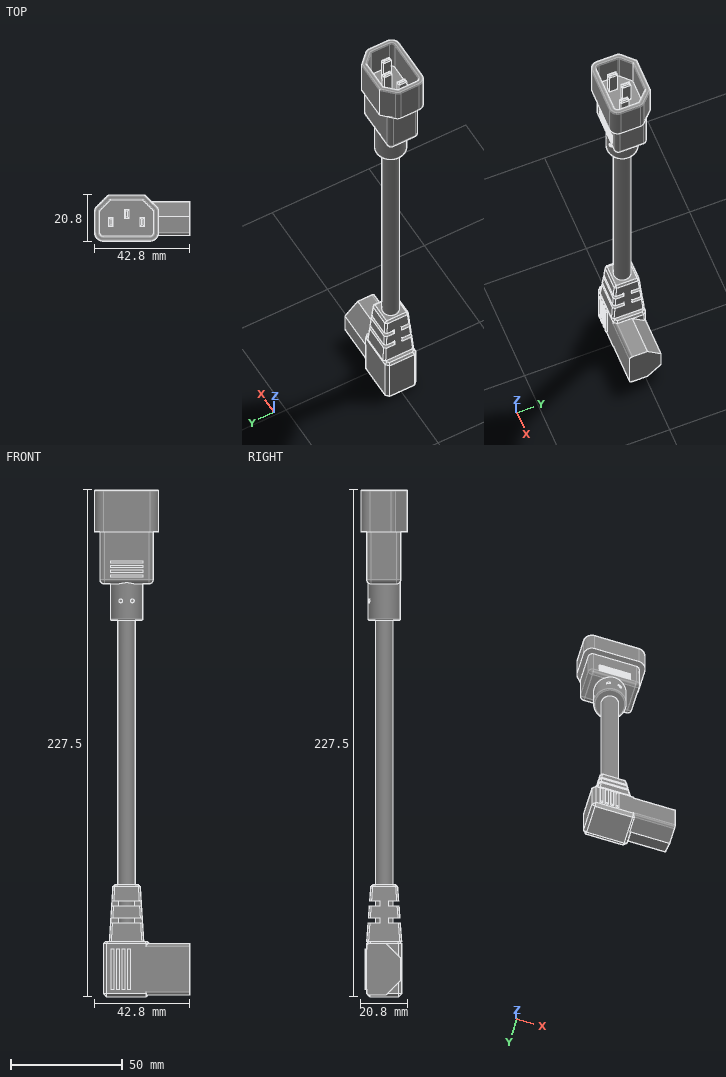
import cadquery as cq
import math


total_height = 227.46
total_width = 42.8

cable_dia = 8.0

shell_width = 28.8
shell_depth = 20.83
shell_height = 18.7
shell_bevel = 6.2
shell_bevel_radius = 3.0
rim_edge = 0.5
shell_radius = 4.0
shell_wall = 2.3
pocket_depth = 16.5
pin_width = 2.0
pin_depth = 4.0
pin_recess = 3.0
pin_tip_chamfer = 0.6
pin_pitch = 7.0
pin_stagger = 3.6
grip_width = 24.0
grip_front = -7.9
grip_back = 7.5
grip_height = 23.4
grip_radius = 2.0
sleeve_dia = 14.6
sleeve_height = 16.3
sleeve_edge = 0.6
dimple_dia = 1.7
dimple_depth = 0.8
dimple_spacing = 5.2
dimple_drop = 7.6
grip_slot_count = 4
grip_slot_pitch = 2.1
grip_slot_length = 14.6
grip_slot_height = 1.0
grip_slot_depth = 0.6
lowest_grip_slot = 3.6

block_left = -10.4
block_right = 10.2
block_height = 25.0
block_depth = 15.8
block_edge = 1.5
block_top_edge = 1.0
nose_height = 23.2
nose_back = 7.4
nose_chamfer = 6.6
nose_radius = 1.4
rib_count = 4
rib_pitch = 2.5
rib_width = 1.4
rib_length = 18.0
rib_rise = 0.6
first_rib_x = -6.4
boot_height = 25.4
boot_base_width = 15.5
boot_base_depth = 15.8
boot_top_width = 12.3
boot_top_depth = 12.0
boot_edge = 0.9
boot_groove_height = 2.1
boot_groove_bottoms = (33.3, 40.9)
boot_web = 3.7

shell_bottom = total_height - shell_height
grip_bottom = shell_bottom - grip_height
sleeve_bottom = grip_bottom - sleeve_height
nose_right = total_width - shell_width / 2
nose_front = -block_depth / 2
nose_depth = nose_back - nose_front
grip_depth = grip_back - grip_front


def shell_outline(inset):
    """Corners of the shell, offset inwards: bevelled at the back, square at the front."""
    half_width = shell_width / 2 - inset
    half_depth = shell_depth / 2 - inset
    bevel = shell_bevel - inset * (2 - math.sqrt(2))
    return [
        (-half_width, -half_depth),
        (half_width, -half_depth),
        (half_width, half_depth - bevel),
        (half_width - bevel, half_depth),
        (-half_width + bevel, half_depth),
        (-half_width, half_depth - bevel),
    ]


def shell_prism(inset, bottom, height):
    prism = cq.Workplane("XY").workplane(offset=bottom).polyline(shell_outline(inset)).close().extrude(height)
    prism = prism.edges("|Z and (<X or >X)").edges(">Y").fillet(shell_bevel_radius - inset)
    return prism.edges("|Z and <Y").fillet(shell_radius - inset)


def contact_pins():
    height = pocket_depth - pin_recess
    places = [(-pin_pitch, -pin_stagger / 2), (0, pin_stagger / 2), (pin_pitch, -pin_stagger / 2)]
    pins = (
        cq.Workplane("XY").workplane(offset=total_height - pocket_depth)
        .pushPoints(places).rect(pin_width, pin_depth).extrude(height)
    )
    return pins.faces(">Z").chamfer(pin_tip_chamfer)


def make_grip():
    return (
        cq.Workplane("XY").workplane(offset=grip_bottom)
        .center(0, grip_front + grip_depth / 2)
        .rect(grip_width, grip_depth).extrude(grip_height)
        .edges("|Z or <Z").fillet(grip_radius)
    )


def make_sleeve():
    return (
        cq.Workplane("XY").workplane(offset=sleeve_bottom)
        .circle(sleeve_dia / 2).extrude(sleeve_height + grip_radius)
        .faces("<Z").edges().fillet(sleeve_edge)
    )


def make_grip_slot(index):
    slot_z = grip_bottom + lowest_grip_slot + index * grip_slot_pitch
    slot = cq.Workplane("XY").box(grip_slot_length, 2 * grip_slot_depth, grip_slot_height)
    return slot.translate((0, grip_front, slot_z))


def make_dimple(side):
    dimple_x = side * dimple_spacing / 2
    surface_y = -math.sqrt((sleeve_dia / 2) ** 2 - dimple_x ** 2)
    return (
        cq.Workplane("XZ", origin=(dimple_x, surface_y + dimple_depth, grip_bottom - dimple_drop))
        .circle(dimple_dia / 2).extrude(2 * dimple_depth)
    )


def make_upper_plug():
    pocket = shell_prism(shell_wall, total_height - pocket_depth, pocket_depth)
    shell = shell_prism(0, shell_bottom, shell_height).cut(pocket)
    shell = shell.faces(">Z").edges().fillet(rim_edge)
    plug = shell.union(make_grip()).union(make_sleeve()).union(contact_pins())
    for index in range(grip_slot_count):
        plug = plug.cut(make_grip_slot(index))
    for side in (-1, 1):
        plug = plug.cut(make_dimple(side))
    return plug


def make_block():
    return (
        cq.Workplane("XY").workplane(offset=block_height / 2)
        .center((block_left + block_right) / 2, 0)
        .box(block_right - block_left, block_depth, block_height)
        .edges("|Z or <Z").chamfer(block_edge)
        .faces(">Z").chamfer(block_top_edge)
    )


def make_nose():
    return (
        cq.Workplane("YZ").center(nose_front + nose_depth / 2, block_height / 2)
        .rect(nose_depth, nose_height).extrude(nose_right)
        .edges("|X and >Y").chamfer(nose_chamfer)
        .edges("|X and <Y").fillet(nose_radius)
    )


def make_boot():
    """Tapered strain relief, grooved from front and back down to a central web."""
    boot = (
        cq.Workplane("XY").workplane(offset=block_height).rect(boot_base_width, boot_base_depth)
        .workplane(offset=boot_height).rect(boot_top_width, boot_top_depth).loft(combine=True)
    )
    boot = boot.edges("not <Z").chamfer(boot_edge)
    groove = cq.Workplane("XY").box(
        2 * boot_base_width, boot_base_depth, boot_groove_height, centered=(True, True, False)
    )
    groove_y = (boot_web + boot_base_depth) / 2
    for bottom in boot_groove_bottoms:
        for side in (-1, 1):
            boot = boot.cut(groove.translate((0, side * groove_y, bottom)))
    return boot


def make_grip_rib(index):
    rib = cq.Workplane("XY").box(rib_width, 2 * rib_rise, rib_length)
    return rib.translate((first_rib_x + index * rib_pitch, -block_depth / 2, block_height / 2))


def make_lower_plug():
    plug = make_block().union(make_nose()).union(make_boot())
    for index in range(rib_count):
        plug = plug.union(make_grip_rib(index))
    bore = cq.Workplane("XY").workplane(offset=block_height).circle(cable_dia / 2).extrude(boot_height)
    return plug.cut(bore)


def make_cable():
    return (
        cq.Workplane("XY").workplane(offset=block_height)
        .circle(cable_dia / 2).extrude(sleeve_bottom - block_height)
    )


upper_plug = make_upper_plug()
lower_plug = make_lower_plug()
cable = make_cable()
result = cq.Compound.makeCompound([upper_plug.solids().val(), lower_plug.solids().val(), cable.val()])